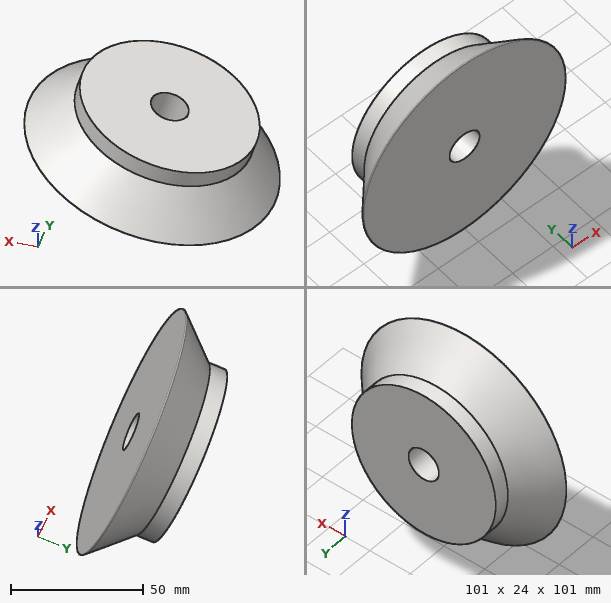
import cadquery as cq
import math

rim_diameter = 101.0
hub_diameter = 71.0
bore_diameter = 15.0
total_width = 24.0
hub_width = 7.2
rim_round = 0.3

rim_radius = rim_diameter / 2
hub_radius = hub_diameter / 2
bore_radius = bore_diameter / 2

front_y = -total_width / 2
back_y = total_width / 2
hub_start_y = back_y - hub_width

round_center_radius = rim_radius - rim_round
round_center_y = front_y + rim_round


def rim_point(angle):
    """Point on the rim rounding; the angle is measured from the outward radial direction."""
    return (
        round_center_radius + rim_round * math.cos(angle),
        round_center_y + rim_round * math.sin(angle),
    )


def cone_normal_angle():
    """Angle of the cone's normal, so the cone leaves the rounding tangentially and meets the hub."""
    radial_offset = hub_radius - round_center_radius
    axial_offset = hub_start_y - round_center_y
    distance = math.hypot(radial_offset, axial_offset)
    return math.atan2(axial_offset, radial_offset) - math.acos(rim_round / distance)


def make_wheel():
    """Revolve the half section (radius along X, axial position along Y) about the Y axis."""
    half_section = (
        cq.Workplane("XY")
        .moveTo(bore_radius, front_y)
        .lineTo(round_center_radius, front_y)
        .threePointArc(rim_point(0), rim_point(cone_normal_angle()))
        .lineTo(hub_radius, hub_start_y)
        .lineTo(hub_radius, back_y)
        .lineTo(bore_radius, back_y)
        .close()
    )
    return half_section.revolve(360, (0, 0, 0), (0, 1, 0))


result = make_wheel()